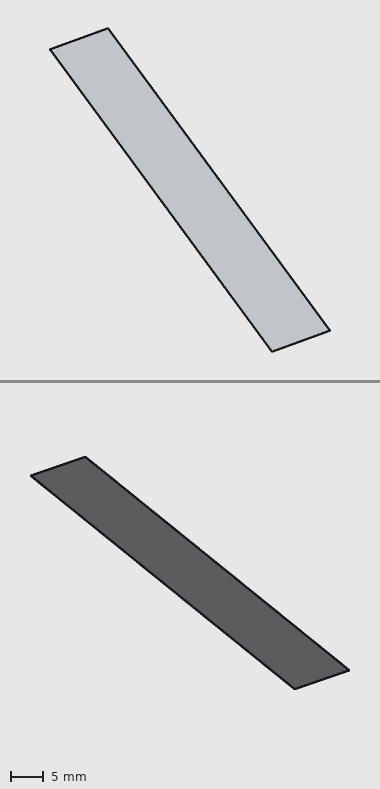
import cadquery as cq

length = 74.0
width = 10.0
thickness = 0.1

result = cq.Workplane("XY").box(length, width, thickness)